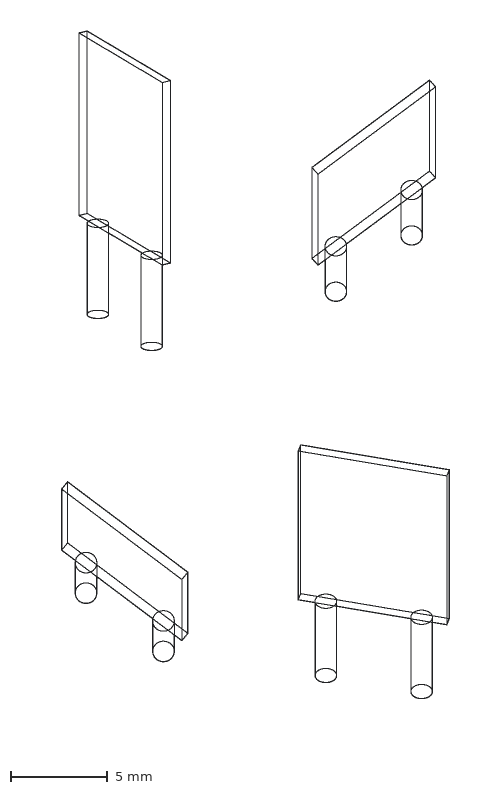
import cadquery as cq

total_height = 15.31
plate_width = 7.92
plate_thickness = 0.5
pin_diameter = 1.12
pin_length = 5.1
pin_spacing = 5.1

plate_height = total_height - pin_length


def make_plate():
    """Flat upright plate standing on the tops of the pins."""
    return cq.Workplane("XY").box(
        plate_width, plate_thickness, plate_height, centered=(True, True, False)
    )


def make_pin(x):
    """Round pin hanging down from the underside of the plate."""
    return cq.Workplane("XY").center(x, 0).circle(pin_diameter / 2).extrude(-pin_length)


plate = make_plate()
pins = [make_pin(side * pin_spacing / 2) for side in (-1, 1)]

result = cq.Compound.makeCompound([plate.val(), *(pin.val() for pin in pins)])